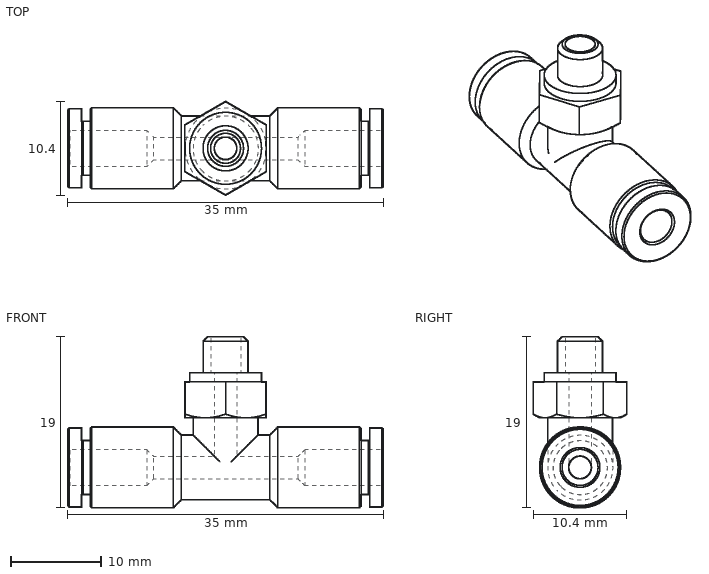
import cadquery as cq
import math

run_length = 35.0
pipe_diameter = 7.2
body_diameter = 9.0
body_inner_end = 4.9
body_outer_end = 15.0
body_edge_chamfer = 0.2
neck_diameter = 6.02
neck_outer_end = 15.8
collar_diameter = 8.8
collar_width = 1.55
collar_edge_chamfer = 0.18
collar_stem_diameter = 6.0

passage_diameter = 2.5
tube_bore_diameter = 4.0
tube_bore_depth = 8.75
bore_lip_chamfer = 0.2

hex_across_flats = body_diameter
hex_bottom = 5.5
hex_height = 4.0
hex_chamfer_angle = 30.0
flange_diameter = 7.98
flange_height = 1.0
stem_diameter = 5.0
stem_height = 4.0
stem_tip_diameter = 4.0
stem_bore_diameter = 3.32
stem_bore_depth = 4.0

run_half = run_length / 2
hex_top = hex_bottom + hex_height
flange_top = hex_top + flange_height
stem_top = flange_top + stem_height


def revolve_about_x(points):
    """Revolve a closed (x, radius) outline about the X axis."""
    return cq.Workplane("XY").polyline(points).close().revolve(360, (0, 0, 0), (1, 0, 0))


def cylinder_z(diameter, bottom, height):
    return cq.Workplane("XY").workplane(offset=bottom).circle(diameter / 2).extrude(height)


def cylinder_x(diameter, length):
    """Cylinder along X, centred on the origin."""
    return cq.Workplane("YZ").circle(diameter / 2).extrude(length / 2, both=True)


def make_run_end():
    """Outer shape of the +X end of the run, from body shoulder to release collar."""
    pipe_r = pipe_diameter / 2
    body_r = body_diameter / 2
    neck_r = neck_diameter / 2
    collar_r = collar_diameter / 2
    collar_stem_r = collar_stem_diameter / 2
    collar_inner_end = run_half - collar_width
    return revolve_about_x([
        (body_inner_end, 0),
        (body_inner_end, pipe_r),
        (body_inner_end + body_r - pipe_r, body_r),
        (body_outer_end - body_edge_chamfer, body_r),
        (body_outer_end, body_r - body_edge_chamfer),
        (body_outer_end, neck_r),
        (neck_outer_end, neck_r),
        (neck_outer_end, collar_stem_r),
        (collar_inner_end, collar_stem_r),
        (collar_inner_end, collar_r),
        (run_half - collar_edge_chamfer, collar_r),
        (run_half, collar_r - collar_edge_chamfer),
        (run_half, 0),
    ])


def make_tube_socket():
    """Tube socket of the +X end, with a conical floor down to the passage."""
    passage_r = passage_diameter / 2
    tube_r = tube_bore_diameter / 2
    socket_floor = run_half - tube_bore_depth
    cone_start = socket_floor - (tube_r - passage_r)
    return revolve_about_x([
        (cone_start, 0),
        (cone_start, passage_r),
        (socket_floor, tube_r),
        (run_half - bore_lip_chamfer, tube_r),
        (run_half, tube_r + bore_lip_chamfer),
        (run_half, 0),
    ])


def make_hex():
    """Hexagon with corners on Y and a conical chamfer on its lower corners."""
    flat_r = hex_across_flats / 2
    corner_r = flat_r / math.cos(math.radians(30))
    chamfer_height = (corner_r - flat_r) * math.tan(math.radians(hex_chamfer_angle))
    hexagon = (
        cq.Workplane("XY").workplane(offset=hex_bottom)
        .transformed(rotate=(0, 0, 90))
        .polygon(6, 2 * corner_r)
        .extrude(hex_height)
    )
    envelope = (
        cq.Workplane("XZ")
        .polyline([
            (0, hex_bottom),
            (flat_r, hex_bottom),
            (corner_r, hex_bottom + chamfer_height),
            (corner_r, hex_top),
            (0, hex_top),
        ])
        .close()
        .revolve(360, (0, 0, 0), (0, 1, 0))
    )
    return hexagon.intersect(envelope)


def make_branch():
    """Pipe rising from the run, with hexagon, flange and chamfered stem."""
    pipe = cylinder_z(pipe_diameter, 0, hex_bottom)
    flange = cylinder_z(flange_diameter, hex_top, flange_height)
    tip_chamfer = (stem_diameter - stem_tip_diameter) / 2
    stem = cylinder_z(stem_diameter, flange_top, stem_height).faces(">Z").chamfer(tip_chamfer)
    return pipe.union(make_hex()).union(flange).union(stem)


def make_branch_bore():
    """Passage down to the run, widened at the top of the stem."""
    passage = cylinder_z(passage_diameter, 0, stem_top)
    return passage.union(cylinder_z(stem_bore_diameter, stem_top - stem_bore_depth, stem_bore_depth))


def both_ends(end):
    return end.union(end.mirror("YZ"))


run = cylinder_x(pipe_diameter, 2 * body_inner_end).union(both_ends(make_run_end()))
run_passage = cylinder_x(passage_diameter, run_length)
bores = run_passage.union(both_ends(make_tube_socket())).union(make_branch_bore())
result = run.union(make_branch()).cut(bores)